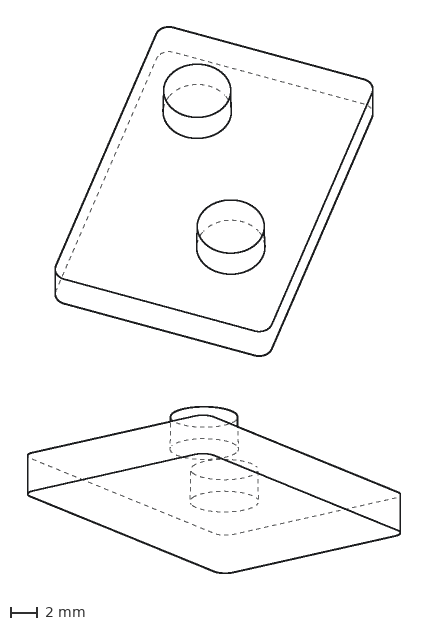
import cadquery as cq

plate_width = 17
plate_length = 25
plate_thickness = 3
corner_radius = 1

peg_height = 2.5
peg_base_diameter = 5.1
peg_top_diameter = 5
peg_spacing_x = 6.5
peg_spacing_y = 11.25


def make_plate():
    """Flat plate on Z = 0 with rounded vertical corners."""
    plate = cq.Workplane("XY").box(
        plate_width, plate_length, plate_thickness, centered=(True, True, False)
    )
    return plate.edges("|Z").fillet(corner_radius)


def make_peg(x, y):
    """Peg standing on the plate, narrowing towards its flat top."""
    return (
        cq.Workplane("XY", origin=(x, y, plate_thickness))
        .circle(peg_base_diameter / 2)
        .workplane(offset=peg_height)
        .circle(peg_top_diameter / 2)
        .loft(combine=True)
    )


result = make_plate()
for side in (-1, 1):
    peg = make_peg(side * peg_spacing_x / 2, -side * peg_spacing_y / 2)
    result = result.union(peg)